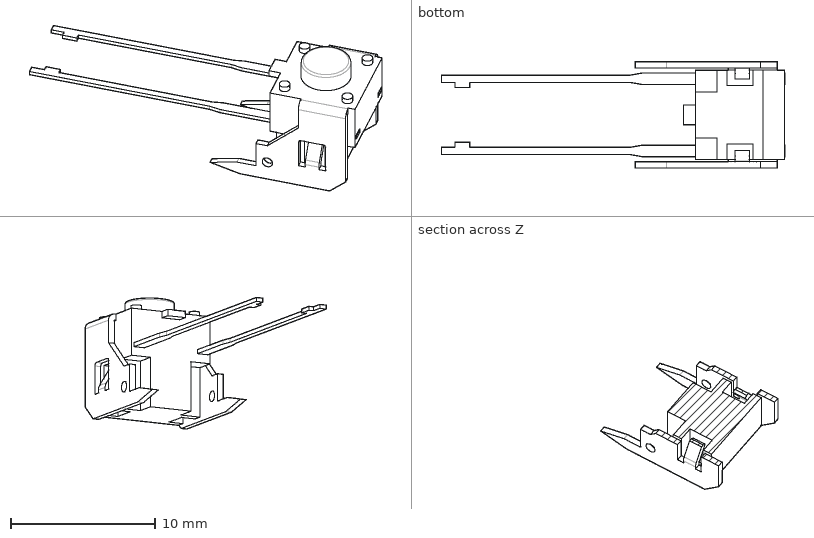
import cadquery as cq
import math


block_side = 6.2
block_half = block_side / 2
block_height = 6.85
upper_height = 3.35
notch = 1.5
arm_half_width = block_half - notch
pocket_half_width = 0.9
pocket_depth = 1.07

peg_diameter = 0.75
peg_height = 0.38
peg_offset = 2.3
sheet = 0.45
tab_width = 1.38
tab_reach = 0.84

button_base_diameter = 3.5
button_top_diameter = 3.44
button_height = 1.26
button_fillet = 0.15

lead_start = -20.73
lead_end = 3.13
lead_top = -2.43
lead_thickness = 0.29
lead_center = 2.5
lead_wide_half = 0.4
lead_narrow_half = 0.26
taper_start = -7.6
taper_end = -6.8
tooth_inset = 0.93
tooth_start = lead_start + tooth_inset
tooth_length = 1.05
tooth_height = 0.35

wing_outer = 3.7
wing_inner = wing_outer - sheet
wing_front = -0.84
wing_back = 2.6
bend_radius = 0.5
wing_bottom = -7.09
slope_top = -2.1
foot_top = -4.18
foot_front = -block_half - tab_reach
spike_top = -6.1
spike_tip_x = -7.28
spike_tip_z = -6.59
spike_shoulder_upper = -5.32
spike_shoulder_lower = -5.1
corner_cut_x = 1.17
corner_cut_z = 1.05
eye_diameter = 0.75
eye_z = -5.63

window_front = wing_front
window_back = 1.15
window_top = -3.17
window_bottom = -5.4
window_fillet = 0.21
window_center = (window_front + window_back) / 2
tongue_width = 1.0
tongue_root = -5.18
tongue_top = -3.67
tongue_bend_radius = 0.62
tongue_angle = math.radians(32)


def box(x_range, y_range, z_range):
    """Box between the given limits on each axis."""
    (x0, x1), (y0, y1), (z0, z1) = x_range, y_range, z_range
    return cq.Workplane("XY").box(x1 - x0, y1 - y0, z1 - z0, centered=False).translate((x0, y0, z0))


def mirrored_pair(shape):
    """The -Y shape joined with its mirror image on the +Y side."""
    return shape.union(shape.mirror("XZ"))


def make_block():
    """Square upper section over a T-shaped lower section with latch channels."""
    upper = box((-block_half, block_half), (-block_half, block_half), (-upper_height, 0))
    lower_z = (-block_height, -upper_height)
    core = box((-block_half, arm_half_width), (-arm_half_width, arm_half_width), lower_z)
    arms = box((-arm_half_width, arm_half_width), (-block_half, block_half), lower_z)
    channel = box(
        (-pocket_half_width, pocket_half_width), (-block_half, -block_half + pocket_depth), lower_z
    )
    return upper.union(core).union(arms).cut(mirrored_pair(channel))


def make_pegs():
    """Four pegs near the corners of the top face."""
    return (
        cq.Workplane("XY")
        .rect(2 * peg_offset, 2 * peg_offset, forConstruction=True)
        .vertices()
        .circle(peg_diameter / 2)
        .extrude(peg_height)
    )


def make_tab():
    """Small tab flush with the top face, on the lead side."""
    return box((-block_half - tab_reach, -block_half), (-tab_width / 2, tab_width / 2), (-sheet, 0))


def make_lead():
    """Flat lead on the -Y side, with a tapered neck and a tooth pointing inward."""
    outer_wide = -lead_center - lead_wide_half
    inner_wide = -lead_center + lead_wide_half
    outer_narrow = -lead_center - lead_narrow_half
    inner_narrow = -lead_center + lead_narrow_half
    tooth_end = tooth_start + tooth_length
    outline = [
        (lead_start, outer_narrow),
        (taper_start, outer_narrow),
        (taper_end, outer_wide),
        (lead_end, outer_wide),
        (lead_end, inner_wide),
        (taper_end, inner_wide),
        (taper_start, inner_narrow),
        (tooth_end, inner_narrow),
        (tooth_end, inner_narrow + tooth_height),
        (tooth_start, inner_narrow + tooth_height),
        (tooth_start, inner_narrow),
        (lead_start, inner_narrow),
    ]
    flat = cq.Workplane("XY").workplane(offset=lead_top - lead_thickness)
    return flat.polyline(outline).close().extrude(lead_thickness)


def make_tongue():
    """Latch tongue on the -Y wing: rises from the window sill and bends inward."""
    sin_a = math.sin(tongue_angle)
    cos_a = math.cos(tongue_angle)
    bend_axis_y = -wing_outer + tongue_bend_radius
    inner_radius = tongue_bend_radius - sheet

    def on_bend(radius, angle):
        return (bend_axis_y - radius * math.cos(angle), tongue_root + radius * math.sin(angle))

    outer_bend_end = on_bend(tongue_bend_radius, tongue_angle)
    inner_bend_end = on_bend(inner_radius, tongue_angle)
    straight = (tongue_top - outer_bend_end[1]) / cos_a
    run = (straight * sin_a, straight * cos_a)
    outer_tip = (outer_bend_end[0] + run[0], outer_bend_end[1] + run[1])
    inner_tip = (inner_bend_end[0] + run[0], inner_bend_end[1] + run[1])
    return (
        cq.Workplane("YZ")
        .workplane(offset=window_center - tongue_width / 2)
        .moveTo(-wing_outer, window_bottom)
        .lineTo(-wing_outer, tongue_root)
        .threePointArc(on_bend(tongue_bend_radius, tongue_angle / 2), outer_bend_end)
        .lineTo(*outer_tip)
        .lineTo(*inner_tip)
        .lineTo(*inner_bend_end)
        .threePointArc(on_bend(inner_radius, tongue_angle / 2), (-wing_inner, tongue_root))
        .lineTo(-wing_inner, window_bottom)
        .close()
        .extrude(tongue_width)
    )


def make_wing():
    """Bracket wing on the -Y side, bent down from the top face."""
    outline = [
        (wing_front, 0),
        (wing_front, slope_top),
        (-block_half, foot_top),
        (foot_front, foot_top),
        (foot_front, spike_top),
        (spike_shoulder_upper, spike_top),
        (spike_tip_x, spike_tip_z),
        (spike_shoulder_lower, wing_bottom),
        (wing_back - corner_cut_x, wing_bottom),
        (wing_back, wing_bottom + corner_cut_z),
        (wing_back, 0),
    ]
    outer_plane = cq.Workplane("XZ", origin=(0, -wing_inner, 0))
    plate = outer_plane.polyline(outline).close().extrude(sheet)
    bridge = box((wing_front, wing_back), (-wing_inner, -block_half), (-sheet, 0))
    wing = plate.union(bridge).edges("|X and >Z and <Y").fillet(bend_radius)
    eye = outer_plane.center(-block_half, eye_z).circle(eye_diameter / 2).extrude(sheet)
    window = box(
        (window_front, window_back), (-wing_outer, -wing_inner), (window_bottom, window_top)
    ).edges("|Y and >Z").fillet(window_fillet)
    return wing.cut(eye).cut(window).union(make_tongue())


def make_housing():
    """Block, pegs, tab, leads and bracket wings as one solid."""
    housing = make_block().union(make_pegs()).union(make_tab())
    housing = housing.union(mirrored_pair(make_lead()))
    return housing.union(mirrored_pair(make_wing()))


def make_button():
    """Slightly tapered round button standing on the top face."""
    return (
        cq.Workplane("XY")
        .circle(button_base_diameter / 2)
        .workplane(offset=button_height)
        .circle(button_top_diameter / 2)
        .loft()
        .faces(">Z")
        .edges()
        .fillet(button_fillet)
    )


housing = make_housing()
button = make_button()
result = cq.Compound.makeCompound([housing.val(), button.val()])